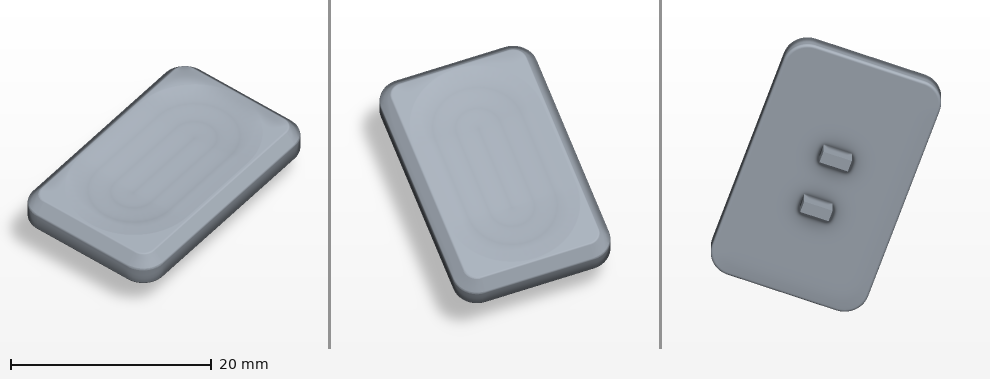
import cadquery as cq

body_width = 16.5
body_length = 26.25
body_height = 3.2
corner_radius = 2.5
top_chamfer = 1.15
edge_fillet = 0.3

dish_width = 13.65
dish_straight = body_length - body_width
dish_depth = 0.8
dish_rim_fillet = 0.3

leg_width = 3.0
leg_thickness = 1.2
leg_height = 2.0
leg_spacing = 5.7


def make_body():
    """Block with rounded corners, a chamfered top and softened horizontal edges."""
    body = cq.Workplane("XY").box(body_width, body_length, body_height, centered=(True, True, False))
    body = body.edges("|Z").fillet(corner_radius)
    body = body.faces(">Z").chamfer(top_chamfer)
    return body.edges("#Z").fillet(edge_fillet)


def make_dish_cutter():
    """Trough of circular-arc section, closed at each end by a spherical cap of the same radius."""
    half_width = dish_width / 2
    half_straight = dish_straight / 2
    floor_height = body_height - dish_depth
    arc_radius = (half_width**2 + dish_depth**2) / (2 * dish_depth)

    cutter = (
        cq.Workplane("XZ", origin=(0, half_straight, 0))
        .moveTo(-half_width, body_height)
        .threePointArc((0, floor_height), (half_width, body_height))
        .close()
        .extrude(dish_straight)
    )
    for end_y in (-half_straight, half_straight):
        ball = cq.Workplane("XY", origin=(0, end_y, floor_height + arc_radius)).sphere(arc_radius)
        disc = cq.Workplane("XY", origin=(0, end_y, floor_height)).circle(half_width).extrude(dish_depth)
        cutter = cutter.union(disc.intersect(ball))
    return cutter


def cut_dish(body):
    """Sink the dish into the top face and soften its rim."""
    dished = body.cut(make_dish_cutter())
    rim = dished.faces(">Z").val().innerWires()[0]
    return dished.newObject(rim.Edges()).fillet(dish_rim_fillet)


def add_legs(body):
    """Join the two legs to the underside, spaced evenly about the centre along Y."""
    for leg_y in (-leg_spacing / 2, leg_spacing / 2):
        leg = cq.Workplane("XY", origin=(0, leg_y, 0)).rect(leg_width, leg_thickness).extrude(-leg_height)
        body = body.union(leg)
    return body


result = add_legs(cut_dish(make_body()))